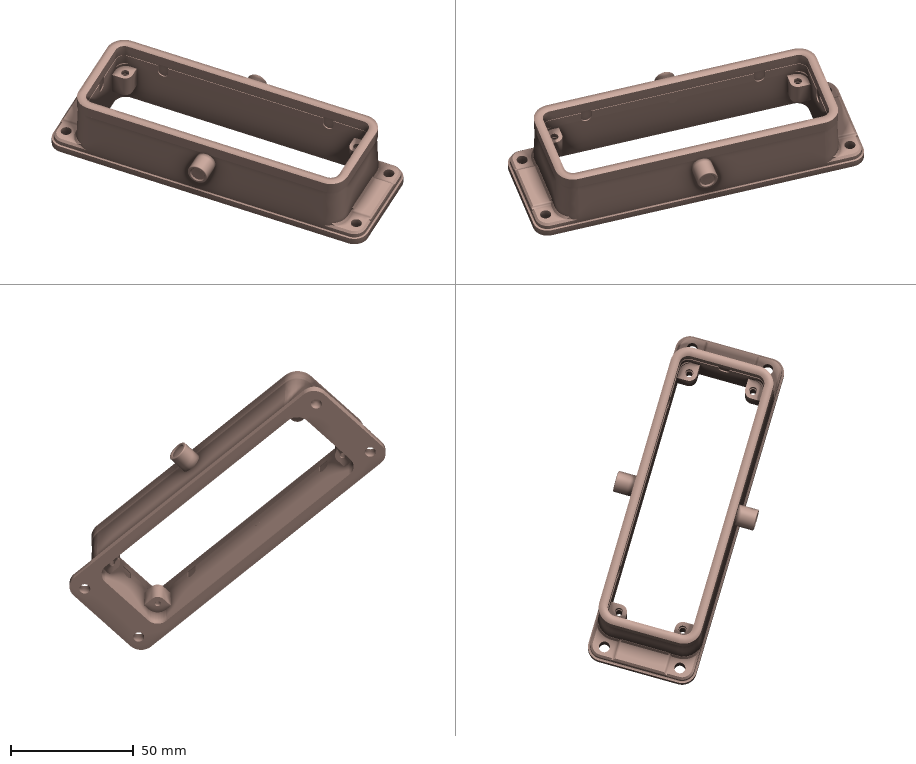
import cadquery as cq
import math

base_length, base_width, base_corner = 141.0, 45.7, 6.0
base_height = 3.0
pad_length, pad_corner = 139.2, 5.1
corner_pad_top = 5.6
plate_top = 6.4
pad_chamfer = 0.85
plate_half_width_top = 10.0
plate_half_width_bottom = 11.8
mount_x, mount_y, mount_hole_diameter = 65.0, 16.0, 4.5

rim_length, rim_width, rim_corner = 120.5, 43.3, 7.5
rim_thickness = 3.7
rim_crown_height = 28.98
rim_crown_rise = 0.5
rim_bottom = 23.7
rim_overhang = 0.4

wall_draft = 2.0
skirt_size = 0.8
wall_top = rim_bottom - rim_overhang
wall_spread = (wall_top - base_height) * math.tan(math.radians(wall_draft))
wall_foot_length = rim_length - 2 * rim_overhang + 2 * wall_spread
wall_foot_width = rim_width - 2 * rim_overhang + 2 * wall_spread
wall_foot_corner = rim_corner - rim_overhang + wall_spread

rim_opening_length = rim_length - 2 * rim_thickness
rim_opening_width = rim_width - 2 * rim_thickness
rim_opening_corner = rim_corner - rim_thickness
opening_ledge = 0.2
ledge_height = 24.0
parting_height = 19.0
opening_draft = 1.0
opening_foot_height = 1.0
opening_foot_corner = 5.2
opening_length = rim_opening_length - 2 * opening_ledge
opening_width = rim_opening_width - 2 * opening_ledge
opening_corner = rim_opening_corner - opening_ledge

recess_width = 4.6
recess_depth = 0.5
recess_bottom = 18.2
recess_x = 37.0

screw_x, screw_y = 52.0, 13.5
post_edge = 3.25
post_bottom, post_top = 8.4, 17.8
screw_hole_diameter = 2.5
screw_counterbore_diameter, screw_counterbore_depth = 3.3, 2.0

pin_diameter = 8.8
pin_end = 29.74
pin_height = parting_height
pin_seat = rim_width / 2 - rim_overhang
pin_edge_round = 0.4
pin_stud_diameter = 4.0
dimple_diameter, dimple_floor_diameter, dimple_depth = 6.7, 5.8, 0.5


def rounded_block(length, width, corner, bottom, top, draft=0):
    """Block with rounded vertical corners; a positive draft narrows it upward."""
    outline = cq.Sketch().rect(length, width).vertices().fillet(corner)
    return (
        cq.Workplane("XY").workplane(offset=bottom)
        .placeSketch(outline).extrude(top - bottom, taper=draft)
    )


def pad_block(top):
    """Upper flange layer, its long sides flush with the drafted wall, its top edge chamfered."""
    block = rounded_block(
        pad_length, wall_foot_width, pad_corner, base_height, top, draft=wall_draft
    )
    return block.faces(">Z").edges().chamfer(pad_chamfer)


def skirt(bottom):
    """Foot of the wall, sloping at 45 degrees onto a pad, kept inside the flange sides."""
    foot = rounded_block(
        wall_foot_length + 2 * skirt_size, wall_foot_width + 2 * skirt_size,
        wall_foot_corner + skirt_size, bottom, bottom + skirt_size, draft=45,
    )
    side_limit = cq.Workplane("XY").box(
        base_length, wall_foot_width - 2 * pad_chamfer, 2 * rim_crown_height
    )
    return foot.intersect(side_limit)


def plate_zone():
    """Full-length prism whose flanks drop from the plate to the pads in an S-curve."""
    zone_top = plate_top + 2 * skirt_size
    middle_y = (plate_half_width_top + plate_half_width_bottom) / 2
    middle_z = (plate_top + corner_pad_top) / 2
    arc_run = (plate_half_width_bottom - plate_half_width_top) / 2
    arc_rise = (plate_top - corner_pad_top) / 2
    arc_radius = (arc_run**2 + arc_rise**2) / (2 * arc_rise)
    profile = (
        cq.Workplane("YZ")
        .moveTo(-plate_half_width_bottom, 0)
        .lineTo(plate_half_width_bottom, 0)
        .lineTo(plate_half_width_bottom, corner_pad_top)
        .radiusArc((middle_y, middle_z), arc_radius)
        .radiusArc((plate_half_width_top, plate_top), -arc_radius)
        .lineTo(plate_half_width_top, zone_top)
        .lineTo(-plate_half_width_top, zone_top)
        .lineTo(-plate_half_width_top, plate_top)
        .radiusArc((-middle_y, middle_z), -arc_radius)
        .radiusArc((-plate_half_width_bottom, corner_pad_top), arc_radius)
        .close()
    )
    return profile.extrude(base_length / 2, both=True)


def flange():
    base = rounded_block(base_length, base_width, base_corner, 0, base_height)
    corner_pads = pad_block(corner_pad_top).union(skirt(corner_pad_top))
    plates = pad_block(plate_top).union(skirt(plate_top)).intersect(plate_zone())
    holes = (
        cq.Workplane("XY").rect(2 * mount_x, 2 * mount_y, forConstruction=True)
        .vertices().circle(mount_hole_diameter / 2).extrude(plate_top)
    )
    return base.union(corner_pads).union(plates).cut(holes)


def rim():
    """Rim section with a crowned top and a sloped underside, swept around the hood."""
    outer_x, outer_y = rim_length / 2, rim_width / 2
    straight_x, straight_y = outer_x - rim_corner, outer_y - rim_corner
    shoulder = rim_crown_height - rim_crown_rise
    path = (
        cq.Workplane("XY").workplane(offset=rim_bottom)
        .moveTo(outer_x, 0)
        .lineTo(outer_x, straight_y)
        .tangentArcPoint((straight_x, outer_y), relative=False)
        .lineTo(-straight_x, outer_y)
        .tangentArcPoint((-outer_x, straight_y), relative=False)
        .lineTo(-outer_x, -straight_y)
        .tangentArcPoint((-straight_x, -outer_y), relative=False)
        .lineTo(straight_x, -outer_y)
        .tangentArcPoint((outer_x, -straight_y), relative=False)
        .close()
    )
    section = (
        cq.Workplane("XZ")
        .moveTo(outer_x - rim_overhang, wall_top)
        .lineTo(outer_x, rim_bottom)
        .lineTo(outer_x, shoulder)
        .threePointArc(
            (outer_x - rim_thickness / 2, rim_crown_height),
            (outer_x - rim_thickness, shoulder),
        )
        .lineTo(outer_x - rim_thickness, wall_top)
        .close()
    )
    return section.sweep(path)


def opening():
    """Space inside the hood: wide at the rim, straight to the parting line, drafted below."""
    upper = rounded_block(
        rim_opening_length, rim_opening_width, rim_opening_corner, ledge_height, rim_crown_height
    )
    middle = rounded_block(
        opening_length, opening_width, opening_corner, parting_height, ledge_height
    )
    spread = (parting_height - opening_foot_height) * math.tan(math.radians(opening_draft))
    foot_length, foot_width = opening_length + 2 * spread, opening_width + 2 * spread
    lower = rounded_block(
        foot_length, foot_width, opening_foot_corner,
        opening_foot_height, parting_height, draft=opening_draft,
    )
    foot = rounded_block(foot_length, foot_width, opening_foot_corner, 0, opening_foot_height)
    return upper.union(middle).union(lower).union(foot)


def wall_recesses():
    """U-shaped recesses, two in each long wall and one in each end wall."""
    radius = recess_width / 2
    outline = (
        cq.Sketch()
        .push([(0, recess_bottom + radius)]).circle(radius).reset()
        .push([(0, (recess_bottom + radius + ledge_height) / 2)])
        .rect(recess_width, ledge_height - recess_bottom - radius)
        .clean()
    )
    reach_y = opening_width / 2 + recess_depth
    reach_x = opening_length / 2 + recess_depth
    recesses = cq.Workplane("YZ").placeSketch(outline).extrude(reach_x, both=True)
    for x in (-recess_x, recess_x):
        pair = cq.Workplane("XZ").placeSketch(outline).extrude(reach_y, both=True)
        recesses = recesses.union(pair.translate((x, 0, 0)))
    return recesses


def corner_post(side_x, side_y):
    """Post filling one inner corner of the hood, with a counterbored screw hole."""
    embed = rim_thickness / 2
    inner_x, inner_y = screw_x - post_edge, screw_y - post_edge
    post = (
        cq.Workplane("XY").workplane(offset=post_bottom)
        .moveTo(screw_x, inner_y)
        .lineTo(opening_length / 2 + embed, inner_y)
        .lineTo(opening_length / 2 + embed, screw_y)
        .lineTo(screw_x, opening_width / 2 + embed)
        .lineTo(inner_x, opening_width / 2 + embed)
        .lineTo(inner_x, screw_y)
        .radiusArc((screw_x, inner_y), -post_edge)
        .close().extrude(post_top - post_bottom)
    )
    post = (
        post.faces(">Z").workplane(origin=(screw_x, screw_y, post_top))
        .cboreHole(screw_hole_diameter, screw_counterbore_diameter, screw_counterbore_depth)
    )
    if side_x < 0:
        post = post.mirror("YZ")
    if side_y < 0:
        post = post.mirror("XZ")
    return post


def locking_pin(side_y):
    """Pin with a dimpled outer end and a stud that ends flush with the inner wall."""
    toward_end = cq.Plane((0, 0, pin_height), xDir=(1, 0, 0), normal=(0, side_y, 0))
    head = (
        cq.Workplane(toward_end).workplane(offset=pin_seat)
        .circle(pin_diameter / 2).extrude(pin_end - pin_seat)
    )
    outer_face = ">Y" if side_y > 0 else "<Y"
    head = head.faces(outer_face).edges().fillet(pin_edge_round)
    dimple = (
        cq.Workplane(toward_end).workplane(offset=pin_end - dimple_depth)
        .circle(dimple_floor_diameter / 2)
        .workplane(offset=dimple_depth).circle(dimple_diameter / 2).loft()
    )
    stud = (
        cq.Workplane(toward_end).workplane(offset=opening_width / 2)
        .circle(pin_stud_diameter / 2).extrude(pin_seat - opening_width / 2)
    )
    return head.cut(dimple).union(stud)


def hood():
    wall = rounded_block(
        wall_foot_length, wall_foot_width, wall_foot_corner, base_height, wall_top, draft=wall_draft
    )
    body = flange().union(wall).union(rim()).cut(opening()).cut(wall_recesses())
    for side_x in (-1, 1):
        for side_y in (-1, 1):
            body = body.union(corner_post(side_x, side_y))
    return body


pins = [locking_pin(side_y) for side_y in (-1, 1)]
housing = hood()
for pin in pins:
    housing = housing.cut(pin)

result = cq.Compound.makeCompound([housing.val(), *[pin.val() for pin in pins]])